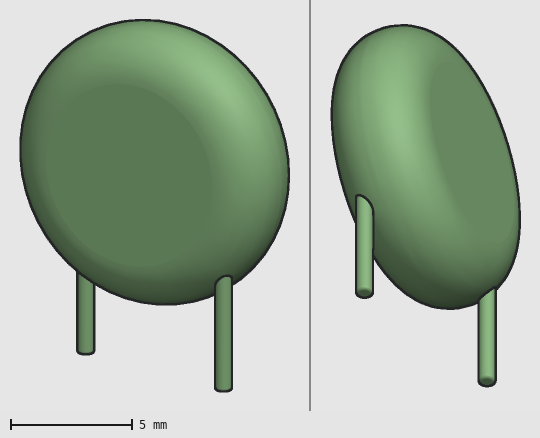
import cadquery as cq

disc_diameter = 12.0
disc_thickness = 4.3
rim_band_width = 0.1
rim_radius = (disc_thickness - rim_band_width) / 2

lead_diameter = 0.72
lead_pitch = 7.5
lead_stagger = 1.9
lead_tip_radius = lead_diameter / 5

overall_height = 15.03
disc_center_z = disc_diameter / 2
lead_tip_z = disc_diameter - overall_height
lead_top_z = disc_center_z


def make_disc():
    """Disc centred on the Y axis with both rims fully rounded."""
    return (
        cq.Workplane("XZ", origin=(0, 0, disc_center_z))
        .circle(disc_diameter / 2)
        .extrude(disc_thickness / 2, both=True)
        .edges()
        .fillet(rim_radius)
    )


def make_lead(x, y):
    """Vertical round lead with a rounded lower tip."""
    return (
        cq.Workplane("XY", origin=(x, y, lead_tip_z))
        .circle(lead_diameter / 2)
        .extrude(lead_top_z - lead_tip_z)
        .faces("<Z")
        .edges()
        .fillet(lead_tip_radius)
    )


result = make_disc()
for side in (-1, 1):
    result = result.union(make_lead(side * lead_pitch / 2, -side * lead_stagger / 2))